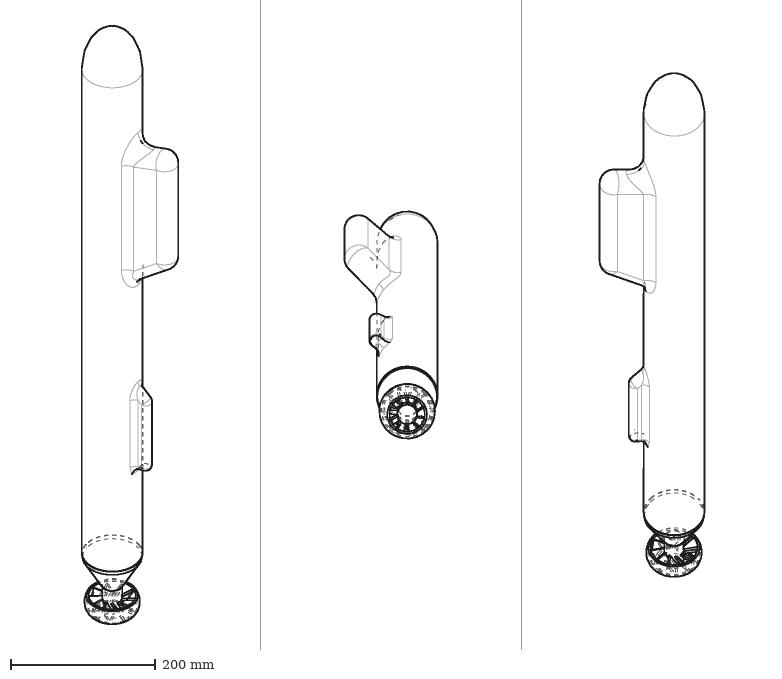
import cadquery as cq
import math

total_height = 1020.0
overall_width = 148.0

tolerance = 0.01

hull_radius = 85.0 / 2
tail_radius = 83.0 / 2
tail_tip_radius = 30.0 / 2
nose_height = 68.0
tail_tip_bottom = 48.0
cone_height = 49.0
tail_band_height = 6.0
cone_top = tail_tip_bottom + cone_height
tube_bottom = cone_top + tail_band_height
nose_base = total_height - nose_height

fin_reach = overall_width - hull_radius
fin_radius = 40.0 / 2
fin_root_fillet = 20.0
fin_top = 823.0
fin_bottom = 660.0
fin_top_slope = math.radians(15)
fin_bottom_slope = math.radians(38)

rail_reach = 64.0
rail_radius = 9.7
rail_root_fillet = 10.0
rail_top = 392.0
rail_bottom = 276.0
rail_top_slope = math.radians(-45)
rail_end_taper_height = 5.0
rail_end_taper_depth = 1.5

fin_split_height = (fin_bottom + rail_top) / 2

shaft_radius = 28.0 / 2
duct_height = 31.0
duct_top_radius = 36.0
duct_bulge_radius = 39.0
duct_bulge_height = 18.0
duct_bottom_radius = 28.0
duct_wall = 3.0
blade_count = 10
blade_thickness = 3.0
blade_pitch = 30
blade_chord = 20.0
blade_middle_height = 16.0
blade_root = 10.0
blade_tip = 33.0


def make_hull_core():
    """Ellipsoidal nose, straight tube and stepped conical tail, turned about Z."""
    body = (
        cq.Workplane("XZ")
        .moveTo(0, tail_tip_bottom)
        .lineTo(tail_tip_radius, tail_tip_bottom)
        .lineTo(tail_radius, cone_top)
        .lineTo(tail_radius, tube_bottom)
        .lineTo(hull_radius, tube_bottom)
        .lineTo(hull_radius, nose_base)
        .lineTo(0, nose_base)
        .close()
        .revolve(360, (0, 0), (0, 1))
    )
    nose = (
        cq.Workplane("XZ")
        .moveTo(0, nose_base)
        .lineTo(hull_radius, nose_base)
        .ellipseArc(hull_radius, nose_height, 0, 90, startAtCurrent=True)
        .close()
        .revolve(360, (0, 0), (0, 1))
    )
    return body.union(nose)


def make_plate(outline, half_thickness):
    """Flat plate in the XZ plane, centred on Y = 0."""
    return cq.Workplane("XZ").polyline(outline).close().extrude(half_thickness, both=True)


def make_round_edge(start, end, radius):
    """Round rod between two (x, z) points, closing the edge of a plate."""
    start_point = cq.Vector(start[0], 0, start[1])
    direction = cq.Vector(end[0], 0, end[1]) - start_point
    rod = cq.Solid.makeCylinder(radius, direction.Length, start_point, direction)
    return cq.Workplane(obj=rod)


def make_round_corner(point, radius):
    """Ball that joins two round edges."""
    return cq.Workplane("XY").sphere(radius).translate((point[0], 0, point[1]))


def make_large_fin():
    edge_x = fin_reach - fin_radius
    outline = [
        (0, fin_bottom - edge_x * math.tan(fin_bottom_slope)),
        (edge_x, fin_bottom),
        (edge_x, fin_top),
        (0, fin_top - edge_x * math.tan(fin_top_slope)),
    ]
    fin = make_plate(outline, fin_radius)
    for start, end in zip(outline, outline[1:]):
        fin = fin.union(make_round_edge(start, end, fin_radius))
    for corner in outline[1:3]:
        fin = fin.union(make_round_corner(corner, fin_radius))
    return fin


def make_small_fin():
    edge_x = rail_reach - rail_radius
    outline = [
        (0, rail_bottom),
        (edge_x, rail_bottom),
        (edge_x, rail_top),
        (0, rail_top - edge_x * math.tan(rail_top_slope)),
    ]
    fin = make_plate(outline, rail_radius)
    for start, end in zip(outline[1:], outline[2:]):
        fin = fin.union(make_round_edge(start, end, rail_radius))
    fin = fin.union(make_round_corner(outline[2], rail_radius))
    return fin.faces("<Z").chamfer(rail_end_taper_depth, rail_end_taper_height)


def fillet_root(hull, bottom, top, radius):
    """Round the corner between the tube wall and the fin lying between two heights."""
    def is_root(edge):
        box = edge.BoundingBox()
        points = edge.positions([0, 0.25, 0.5, 0.75, 1])
        on_tube = all(abs(math.hypot(p.x, p.y) - hull_radius) < tolerance for p in points)
        return on_tube and bottom < box.zmin and box.zmax < top

    solid = hull.val().Solids()[0]
    root_edges = [edge for edge in solid.Edges() if is_root(edge)]
    return cq.Workplane(obj=solid.fillet(radius, root_edges))


def make_hull():
    hull = make_hull_core().union(make_large_fin()).union(make_small_fin())
    hull = fillet_root(hull, fin_split_height, nose_base, fin_root_fillet)
    return fillet_root(hull, tube_bottom, fin_split_height, rail_root_fillet)


def make_duct():
    """Open ring with a bulging wall and a rounded upper lip."""
    profile = [
        (duct_bottom_radius, 0),
        (duct_bulge_radius, duct_bulge_height),
        (duct_top_radius, duct_height - duct_wall / 2),
    ]
    lip_crest = (duct_top_radius - duct_wall / 2, duct_height)
    inner = [(radius - duct_wall, height) for radius, height in profile]
    return (
        cq.Workplane("XZ")
        .moveTo(*profile[0])
        .threePointArc(profile[1], profile[2])
        .threePointArc(lip_crest, inner[2])
        .threePointArc(inner[1], inner[0])
        .close()
        .revolve(360, (0, 0), (0, 1))
    )


def make_blade(angle):
    """Pitched flat blade from inside the shaft to inside the duct wall."""
    return (
        cq.Workplane("XY")
        .box(blade_tip - blade_root, blade_thickness, blade_chord, centered=(False, True, True))
        .rotate((0, 0, 0), (1, 0, 0), blade_pitch)
        .translate((blade_root, 0, blade_middle_height))
        .rotate((0, 0, 0), (0, 0, 1), angle)
    )


def make_propulsor():
    shaft = cq.Workplane("XY").circle(shaft_radius).extrude(tail_tip_bottom)
    propulsor = make_duct().union(shaft)
    for index in range(blade_count):
        propulsor = propulsor.union(make_blade(index * 360 / blade_count))
    return propulsor


hull = make_hull()
propulsor = make_propulsor()
result = cq.Compound.makeCompound([hull.val(), propulsor.val()])